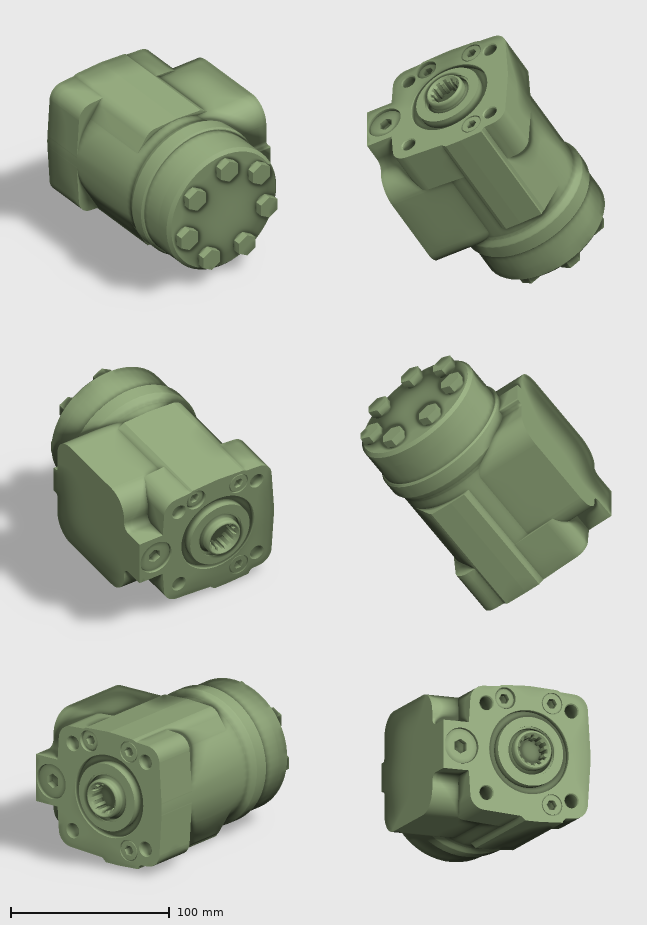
import cadquery as cq
import math


lug_end = 31.0
pad_end = 80.4
housing_end = 107.7
ring_end = 118.6
cover_end = 129.2
washer_end = 130.5
bolt_end = 135.7

barrel_r = 42.0
flange_r = 45.0
rear_r = 86 / 2
flare_start = 87.0
flare_angle = math.radians(30)
flare_fillet = 4.9
flare_crown = 2.0
flange_end = 103.9
flange_chamfer = 1.0

lug_side = 41.8
lug_strip = 4.2
lug_corner_side = 40.1
lug_corner_start = 31.0
lug_corner_mid = 37.3

roof_ridge = (0, 42.8)
roof_edge_y = 18.6
roof_edge_z = 41.8
roof_block_foot_y = 23.4
roof_round_middle = (-22.5, 40.0)
roof_round_end = (-25.2, 36.8)
roof_flat_end = (-31.0, 28.4)
lower_pad_z = -44.4
lower_pad_left_foot = (6.0, -41.4)
lower_pad_flat_start_y = 2.5
lower_pad_flat_end_y = -7.9
lower_pad_right_edge = (-22.9, -43.5)
lower_pad_notch_top = (-23.4, -42.3)
lower_pad_side_start = (-25.0, -40.7)
lower_pad_side_end = (-36.0, -21.6)

block_y = 58.5
block_half_height = 38.8
front_tongue_half_height = 15.6
rear_tongue_half_height = 9.3
block_front = 18.0
block_rear = 95.8
block_round = 14.9
front_fillet = 5.2
rear_fillet = 1.9
tongue_end = 100.5
tongue_round = 0.9

pilot_d = 44.4
pilot_height = 2.5
pilot_bore_d = 29.7
pilot_bore_rim_d = 32.2
pilot_rim_depth = 0.7
pilot_bore_floor = 0.9
pilot_groove_d = 54.0
pilot_groove_rim_d = 54.6
pilot_groove_depth = 4.0

shaft_d = 25.4
shaft_front = -7.6
shaft_nose_d = 23.0
shaft_nose_length = 2.0
shoulder_start = pilot_rim_depth - pilot_height
spline_count = 12
spline_mouth_d = 22.0
spline_tip_d = 16.9
spline_root_d = 19.8
spline_slot_width = 2.5
spline_depth = 11.5

mount_pitch = 58.0
mount_d = 8.9
mount_rim_d = 10.2
mount_depth = 17.2
drill_half_angle = math.radians(59)

screw_places = [(16.2, 33.4, 2.0), (-15.6, 32.8, 0.3), (-15.6, -32.8, 0.3)]
screw_recess_d = 14.0
screw_head_d = 12.5
screw_socket = 6.0
plug_y = 46.1
plug_sink = 1.7
plug_recess_d = 23.0
plug_head_d = 22.0
plug_socket = 8.3
head_gap_depth = 0.9
socket_depth = 4.6

cover_chamfer = 2.1
bolt_count = 7
bolt_circle_r = 32.1
washer_d = 12.5
bolt_hex = 13.0


def cylinder(d, x0, x1, y=0.0, z=0.0):
    return cq.Workplane("YZ", origin=(x0, y, z)).circle(d / 2).extrude(x1 - x0)


def cone(d0, d1, x0, x1, y=0.0, z=0.0):
    """Cone along X; d1 may be 0 for a pointed end."""
    direction = cq.Vector(1, 0, 0)
    solid = cq.Solid.makeCone(d0 / 2, d1 / 2, x1 - x0, cq.Vector(x0, y, z), direction)
    return cq.Workplane(obj=solid)


def hexagon(across_flats, x0, x1, y, z, corner_angle):
    """Hexagonal prism along X with one corner at corner_angle degrees from +Y."""
    corners_d = across_flats / math.cos(math.pi / 6)
    prism = cq.Workplane("YZ").polygon(6, corners_d).extrude(x1 - x0)
    return prism.rotate((0, 0, 0), (1, 0, 0), corner_angle).translate((x0, y, z))


def pointed_length(d):
    return d / 2 / math.tan(drill_half_angle)


def barrel():
    fillet_x = flare_fillet * math.sin(flare_angle)
    fillet_r = flare_fillet * (1 - math.cos(flare_angle))
    crown_x = flare_crown * math.sin(flare_angle)
    crown_r = flare_crown * (1 - math.cos(flare_angle))
    cone_rise = flange_r - barrel_r - fillet_r - crown_r
    cone_start = (flare_start + fillet_x, barrel_r + fillet_r)
    cone_end = (cone_start[0] + cone_rise / math.tan(flare_angle), flange_r - crown_r)
    flange_start = (cone_end[0] + crown_x, flange_r)
    profile = (
        cq.Workplane("XY")
        .moveTo(0, 0)
        .lineTo(0, barrel_r)
        .lineTo(flare_start, barrel_r)
        .tangentArcPoint(cone_start, relative=False)
        .lineTo(*cone_end)
        .tangentArcPoint(flange_start, relative=False)
        .lineTo(flange_end - flange_chamfer, flange_r)
        .lineTo(flange_end, flange_r - flange_chamfer)
        .lineTo(flange_end, rear_r)
        .lineTo(housing_end, rear_r)
        .lineTo(housing_end, 0)
        .close()
    )
    return profile.revolve(360, (0, 0, 0), (1, 0, 0))


def turned(y, z, angle):
    """The point (y, z) turned by angle degrees about the main axis."""
    c = math.cos(math.radians(angle))
    s = math.sin(math.radians(angle))
    return (y * c - z * s, y * s + z * c)


def lug_plate():
    """Square plate with slightly sloped sides and rounded corners."""
    outline = cq.Workplane("YZ").moveTo(lug_side, -lug_strip)
    for quarter in range(4):
        angle = 90 * quarter
        outline = (
            outline.lineTo(*turned(lug_side, lug_strip, angle))
            .lineTo(*turned(lug_corner_side, lug_corner_start, angle))
            .threePointArc(
                turned(lug_corner_mid, lug_corner_mid, angle),
                turned(lug_corner_start, lug_corner_side, angle),
            )
            .lineTo(*turned(lug_strip, lug_side, angle))
        )
    return outline.close().extrude(lug_end)


def upper_pad():
    """Shallow roof over the barrel, rounded down on the -Y side."""
    return (
        cq.Workplane("YZ")
        .moveTo(0, 0)
        .lineTo(roof_block_foot_y, block_half_height)
        .lineTo(roof_edge_y, roof_edge_z)
        .lineTo(*roof_ridge)
        .lineTo(-roof_edge_y, roof_edge_z)
        .threePointArc(roof_round_middle, roof_round_end)
        .lineTo(*roof_flat_end)
        .close()
        .extrude(pad_end)
    )


def lower_pad():
    """Flat-bottomed pad with a chamfered +Y side, a small notch and a sloped -Y side."""
    points = [
        (0, 0),
        lower_pad_left_foot,
        (lower_pad_flat_start_y, lower_pad_z),
        (lower_pad_flat_end_y, lower_pad_z),
        lower_pad_right_edge,
        lower_pad_notch_top,
        lower_pad_side_start,
        lower_pad_side_end,
    ]
    return cq.Workplane("YZ").polyline(points).close().extrude(pad_end)


def half_block():
    """Port block above the XY plane, with a narrow tongue at each end."""
    top = block_half_height
    round_z = top - block_round
    front_z = front_tongue_half_height
    rear_z = rear_tongue_half_height
    profile = (
        cq.Workplane("XZ")
        .moveTo(0, 0)
        .lineTo(0, front_z)
        .lineTo(block_front - front_fillet, front_z)
        .tangentArcPoint((block_front, front_z + front_fillet), relative=False)
        .lineTo(block_front, round_z)
        .tangentArcPoint((block_front + block_round, top), relative=False)
        .lineTo(block_rear - block_round, top)
        .tangentArcPoint((block_rear, round_z), relative=False)
        .lineTo(block_rear, rear_z + rear_fillet)
        .tangentArcPoint((block_rear + rear_fillet, rear_z), relative=False)
        .lineTo(tongue_end - tongue_round, rear_z)
        .tangentArcPoint((tongue_end, rear_z - tongue_round), relative=False)
        .lineTo(tongue_end, 0)
        .close()
    )
    return profile.extrude(-block_y)


def port_block():
    upper = half_block()
    return upper.union(upper.mirror("XY"))


def with_pilot(body):
    """Adds the pilot boss, the groove around it and the stepped bore that clears the shaft."""
    rim = (pilot_groove_rim_d - pilot_groove_d) / 2
    groove = cylinder(pilot_groove_d, 0, pilot_groove_depth)
    groove = groove.union(cone(pilot_groove_rim_d, pilot_groove_d, 0, rim))
    body = body.cut(groove).union(cylinder(pilot_d, -pilot_height, pilot_groove_depth))
    bore = cylinder(pilot_bore_d, -pilot_height, pilot_bore_floor)
    bore = bore.union(cylinder(pilot_bore_rim_d, -pilot_height, shoulder_start))
    return body.cut(bore)


def shaft_end():
    """Round-nosed end of the input shaft, flaring out to fill the floor of the pilot bore."""
    nose_end = shaft_front + shaft_nose_length
    nose_rise = (shaft_d - shaft_nose_d) / 2
    nose_round = (shaft_nose_length**2 + nose_rise**2) / (2 * nose_rise)
    half_turn = math.asin(shaft_nose_length / nose_round) / 2
    nose_middle = (
        nose_end - nose_round * math.sin(half_turn),
        shaft_d / 2 - nose_round * (1 - math.cos(half_turn)),
    )
    profile = (
        cq.Workplane("XY")
        .moveTo(shaft_front, 0)
        .lineTo(shaft_front, shaft_nose_d / 2)
        .threePointArc(nose_middle, (nose_end, shaft_d / 2))
        .lineTo(shoulder_start, shaft_d / 2)
        .lineTo(pilot_bore_floor, pilot_bore_d / 2)
        .lineTo(pilot_bore_floor, 0)
        .close()
    )
    return profile.revolve(360, (0, 0, 0), (1, 0, 0))


def spline_socket():
    """Blind splined hole with a conical mouth."""
    floor = shaft_front + spline_depth
    mouth_end = shaft_front + (spline_mouth_d - spline_tip_d) / 2
    slots = (
        cq.Workplane("YZ", origin=(shaft_front, 0, 0))
        .polarArray(spline_root_d / 4, 0, 360, spline_count)
        .rect(spline_root_d / 2, spline_slot_width)
        .extrude(spline_depth)
    )
    socket = cylinder(spline_tip_d, shaft_front, floor).union(slots)
    return socket.union(cone(spline_mouth_d, spline_tip_d, shaft_front, mouth_end))


def mounting_holes():
    rim = (mount_rim_d - mount_d) / 2
    half = mount_pitch / 2
    holes = []
    for y in (half, -half):
        for z in (half, -half):
            tip = mount_depth + pointed_length(mount_d)
            hole = cylinder(mount_d, 0, mount_depth, y, z)
            hole = hole.union(cone(mount_d, 0, mount_depth, tip, y, z))
            holes.append(hole.union(cone(mount_rim_d, mount_d, 0, rim, y, z)))
    return holes


def socket_recess(y, z, sink, recess_d, head_d, socket, corner_angle):
    """Counterbore leaving a sunk round head with a hexagonal, cone-bottomed socket."""
    gap_end = sink + head_gap_depth
    socket_end = sink + socket_depth
    gap = cylinder(recess_d, 0, gap_end, y, z).cut(cylinder(head_d, sink, gap_end, y, z))
    key = hexagon(socket, 0, socket_end, y, z, corner_angle)
    point = cone(socket, 0, socket_end, socket_end + pointed_length(socket), y, z)
    return gap.union(key).union(point)


def make_housing():
    body = barrel().union(lug_plate()).union(upper_pad()).union(lower_pad()).union(port_block())
    body = with_pilot(body)
    body = body.union(shaft_end()).cut(spline_socket())
    for hole in mounting_holes():
        body = body.cut(hole)
    for y, z, sink in screw_places:
        body = body.cut(socket_recess(y, z, sink, screw_recess_d, screw_head_d, screw_socket, 0))
    plug = socket_recess(plug_y, 0, plug_sink, plug_recess_d, plug_head_d, plug_socket, 90)
    return body.cut(plug)


def make_gear_ring():
    return cylinder(2 * rear_r, housing_end, ring_end)


def make_end_cover():
    """Chamfered cover disc carrying its ring of hexagon bolt heads."""
    cover = cylinder(2 * rear_r, ring_end, cover_end).faces(">X").chamfer(cover_chamfer)
    for index in range(bolt_count):
        angle = math.pi / 2 + 2 * math.pi * index / bolt_count
        y = bolt_circle_r * math.cos(angle)
        z = bolt_circle_r * math.sin(angle)
        cover = cover.union(cylinder(washer_d, cover_end, washer_end, y, z))
        cover = cover.union(hexagon(bolt_hex, washer_end, bolt_end, y, z, 90))
    return cover


housing = make_housing()
gear_ring = make_gear_ring()
end_cover = make_end_cover()

result = cq.Compound.makeCompound([housing.val(), gear_ring.val(), end_cover.val()])